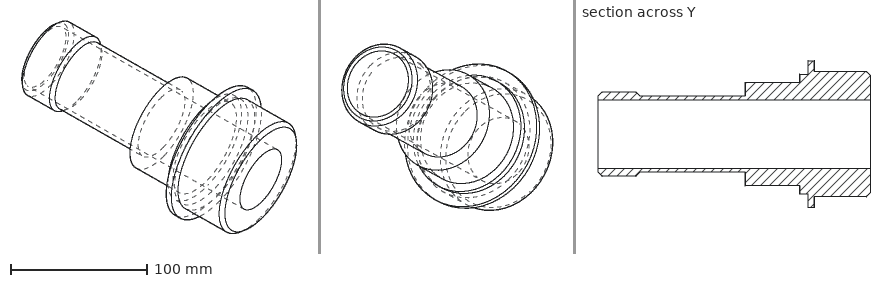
import cadquery as cq

total_length = 200.0
collar_end = 28.0
body_start = 108.0
step_start = 148.0
flange_start = 154.0
flange_thickness = 4.8
flange_end = flange_start + flange_thickness

bore_diameter = 50.0
tube_diameter = 56.0
collar_diameter = 62.0
body_diameter = 76.0
step_diameter = 88.0
flange_diameter = 108.0
plug_diameter = 92.0

end_chamfer = 3.0
collar_taper = (collar_diameter - tube_diameter) / 2


def cylinder(start, end, diameter):
    """Solid cylinder on the X axis between two stations."""
    return cq.Workplane("YZ", origin=(start, 0, 0)).circle(diameter / 2).extrude(end - start)


collar = cylinder(0, collar_end + collar_taper, collar_diameter)
collar = collar.faces("<X").chamfer(end_chamfer).faces(">X").chamfer(collar_taper)

plug = cylinder(flange_end, total_length, plug_diameter).faces(">X").chamfer(end_chamfer)

tube = cylinder(collar_end, body_start, tube_diameter)
body = cylinder(body_start, step_start, body_diameter)
step = cylinder(step_start, flange_start, step_diameter)
flange = cylinder(flange_start, flange_end, flange_diameter)

outside = collar.union(tube).union(body).union(step).union(flange).union(plug)
result = outside.cut(cylinder(0, total_length, bore_diameter))